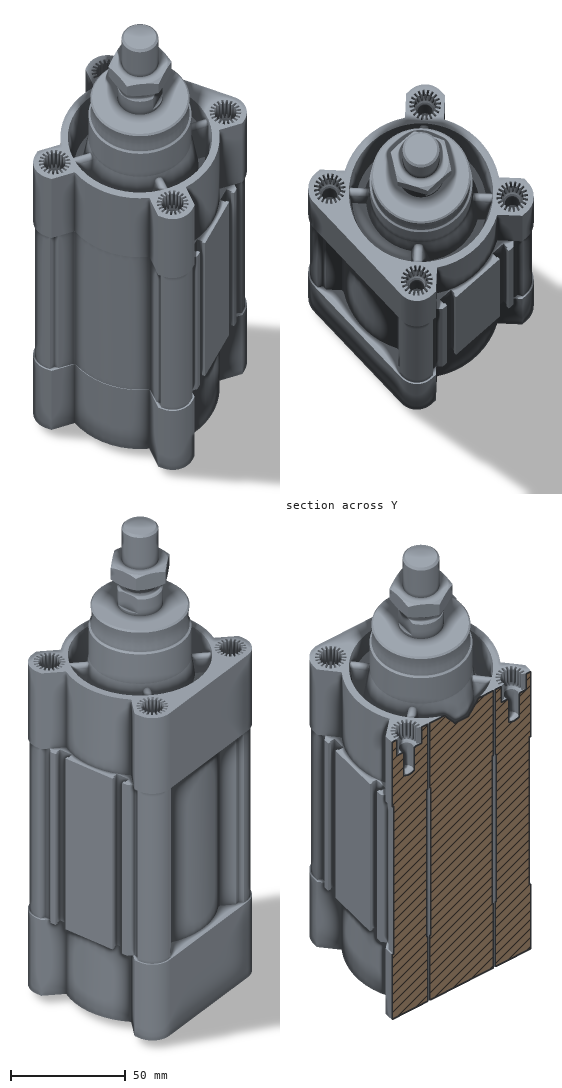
import cadquery as cq
import math

TOTAL_HEIGHT = 243.0
BOSS_HEIGHT = 4.1
COVER_HEIGHT = 40.0
TUBE_HEIGHT = 90.5
REAR_COVER_TOP = BOSS_HEIGHT + COVER_HEIGHT
FRONT_COVER_BOTTOM = REAR_COVER_TOP + TUBE_HEIGHT
FRONT_COVER_TOP = FRONT_COVER_BOTTOM + COVER_HEIGHT
COLLAR_TOP = 191.0
CAP_TOP = 202.0
ROD_SHOULDER = 211.5
NUT_BOTTOM = 217.3
NUT_HEIGHT = 8.0

COVER_SIDE = 75.0
TUBE_SIDE = 73.7
COVER_HALF = COVER_SIDE / 2
TUBE_HALF = TUBE_SIDE / 2
COVER_BARREL_RADIUS = 34.8
TUBE_BARREL_RADIUS = 34.5
SCREW_OFFSET = 28.2
LOBE_EDGE = 25.5
FLANK_REACH = 9.7

GROOVE_FLOOR = 34.8
GROOVE_INNER = 23.3
GROOVE_OUTER = 25.3
GROOVE_LIP = 26.5
FLANK_FOOT = 18.5
LEDGE_INNER = 16.0
FOOT_LEVEL = GROOVE_FLOOR - (GROOVE_INNER - FLANK_FOOT)
FIN_EDGE = 21.0
SLOT_CENTRE = 15.5
SLOT_MOUTH = 5.3
SLOT_WIDTH = 6.5
SLOT_FLOOR = 32.8
SLOT_LIP = 1.5

SOCKET_DIAMETER = 9.7
TOOTH_TIP_DIAMETER = 13.9
TOOTH_COUNT = 20
TOOTH_WIDTH = 1.0
SOCKET_DEPTH = 9.7
SCREW_BORE_DIAMETER = 6.5
BORE_MOUTH_DIAMETER = 8.0
SCREW_BORE_DEPTH = 14.5
BORE_TIP_HEIGHT = 2.0

POCKET_DEPTH = 19.5
SHALLOW_POCKET_DEPTH = 9.7
POCKET_TOP_RADIUS = 63.0 / 2
POCKET_FLOOR_RADIUS = 28.7
COLLAR_RADIUS = 45.0 / 2
COLLAR_FOOT_RADIUS = 25.5
RIB_RADIUS = 2.0
RIB_DROP = 2.0
RIB_BASE_HALF = 5.3

CAP_RADIUS = 21.6
CAP_WAIST_RADIUS = 21.1
CAP_CHAMFER = 0.7
COLLAR_CHAMFER = 0.7
BOSS_CHAMFER = 0.7

ROD_RADIUS = 20.0 / 2
ROD_CHAMFER = 0.7
ROD_FLATS = 17.0
FLATS_BOTTOM = 203.5
THREAD_RADIUS = 16.0 / 2
THREAD_CHAMFER = 1.0
NECK_RADIUS = 14.3 / 2
NECK_FOOT = 0.7
THREAD_BOTTOM = 215.1
NUT_FLATS = 24.0
NUT_CHAMFER = 1.0


def axis_prism(sketch, bottom, height):
    return sketch.extrude(height).translate((0, 0, bottom))


def block(x_range, y_range, bottom, height):
    (x0, x1), (y0, y1) = x_range, y_range
    plan = cq.Workplane("XY").center((x0 + x1) / 2, (y0 + y1) / 2).rect(x1 - x0, y1 - y0)
    return axis_prism(plan, bottom, height)


def disc(radius, bottom, height):
    return axis_prism(cq.Workplane("XY").circle(radius), bottom, height)


def turned(points):
    """Solid of revolution about Z from (radius, height) points."""
    return cq.Workplane("XZ").polyline(points).close().revolve(360, (0, 0, 0), (0, 1, 0))


def in_all_corners(corner):
    """Copies of a +X+Y corner solid, turned to the four corners."""
    return [corner.rotate((0, 0, 0), (0, 0, 1), 90 * turn) for turn in range(4)]


def rounded_tip(outline, half_side):
    """Line and arc around the outer end of a lobe, from the +X side to the +Y side."""
    radius = half_side - SCREW_OFFSET
    middle = SCREW_OFFSET + radius * math.sqrt(0.5)
    return outline.lineTo(half_side, SCREW_OFFSET).threePointArc(
        (middle, middle), (SCREW_OFFSET, half_side)
    )


def build_cover(bottom):
    """End cover: round barrel, four lobes and a flat +Y face."""
    foot = (COVER_HALF - FLANK_REACH, LOBE_EDGE - FLANK_REACH)
    outline = cq.Workplane("XY").polyline([(0, 0), foot, (COVER_HALF, LOBE_EDGE)])
    outline = rounded_tip(outline, COVER_HALF)
    outline = outline.lineTo(LOBE_EDGE, COVER_HALF).lineTo(foot[1], foot[0]).close()
    cover = disc(COVER_BARREL_RADIUS, bottom, COVER_HEIGHT)
    for lobe in in_all_corners(axis_prism(outline, bottom, COVER_HEIGHT)):
        cover = cover.union(lobe)
    flat_side = block(
        (-SCREW_OFFSET, SCREW_OFFSET), (SCREW_OFFSET, COVER_HALF), bottom, COVER_HEIGHT
    )
    return cover.union(flat_side)


def build_tube():
    """Profile tube: barrel, grooved lobes, and slotted flats on the +X and -X sides."""
    outline = cq.Workplane("XY").polyline([
        (0, 0),
        (FOOT_LEVEL, LEDGE_INNER),
        (FOOT_LEVEL, FLANK_FOOT),
        (GROOVE_FLOOR, GROOVE_INNER),
        (GROOVE_FLOOR, GROOVE_OUTER),
        (TUBE_HALF, GROOVE_LIP),
    ])
    outline = rounded_tip(outline, TUBE_HALF)
    outline = (
        outline.lineTo(GROOVE_LIP, TUBE_HALF)
        .lineTo(GROOVE_OUTER, GROOVE_FLOOR)
        .lineTo(GROOVE_INNER, GROOVE_FLOOR)
        .lineTo(FLANK_FOOT, FOOT_LEVEL)
        .lineTo(LEDGE_INNER, FOOT_LEVEL)
        .close()
    )
    tube = disc(TUBE_BARREL_RADIUS, REAR_COVER_TOP, TUBE_HEIGHT)
    for lobe in in_all_corners(axis_prism(outline, REAR_COVER_TOP, TUBE_HEIGHT)):
        tube = tube.union(lobe)

    fin_root = FIN_EDGE + TUBE_HALF - GROOVE_FLOOR
    flats = cq.Workplane("XY").polyline([
        (TUBE_HALF, -FIN_EDGE), (TUBE_HALF, FIN_EDGE), (GROOVE_FLOOR, fin_root),
        (-GROOVE_FLOOR, fin_root), (-TUBE_HALF, FIN_EDGE), (-TUBE_HALF, -FIN_EDGE),
        (-GROOVE_FLOOR, -fin_root), (GROOVE_FLOOR, -fin_root),
    ]).close()
    tube = tube.union(axis_prism(flats, REAR_COVER_TOP, TUBE_HEIGHT))
    for side in (-1, 1):
        for row in (-1, 1):
            tube = tube.cut(build_slot(side, row))
    return tube


def build_slot(side, row):
    """T-slot cutter running the whole tube height."""
    lip = TUBE_HALF - SLOT_LIP
    centre = cq.Workplane("XY").center(side * (SLOT_FLOOR + TUBE_HALF) / 2, row * SLOT_CENTRE)
    mouth = centre.rect(TUBE_HALF - SLOT_FLOOR, SLOT_MOUTH)
    inner = cq.Workplane("XY").center(side * (SLOT_FLOOR + lip) / 2, row * SLOT_CENTRE)
    inner = inner.rect(lip - SLOT_FLOOR, SLOT_WIDTH)
    return axis_prism(mouth, REAR_COVER_TOP, TUBE_HEIGHT).union(
        axis_prism(inner, REAR_COVER_TOP, TUBE_HEIGHT)
    )


def build_screw_socket():
    """Cutter for a splined socket with a threaded bore below it, on the Z axis."""
    floor = FRONT_COVER_TOP - SOCKET_DEPTH
    mouth_drop = (BORE_MOUTH_DIAMETER - SCREW_BORE_DIAMETER) / 2
    bore_radius = SCREW_BORE_DIAMETER / 2
    socket = turned([
        (0, FRONT_COVER_TOP),
        (SOCKET_DIAMETER / 2, FRONT_COVER_TOP),
        (SOCKET_DIAMETER / 2, floor),
        (BORE_MOUTH_DIAMETER / 2, floor),
        (bore_radius, floor - mouth_drop),
        (bore_radius, floor - SCREW_BORE_DEPTH),
        (0, floor - SCREW_BORE_DEPTH - BORE_TIP_HEIGHT),
    ])
    teeth = (
        cq.Workplane("XY")
        .polarArray(TOOTH_TIP_DIAMETER / 4, 0, 360, TOOTH_COUNT)
        .rect(TOOTH_TIP_DIAMETER / 2, TOOTH_WIDTH)
        .extrude(SOCKET_DEPTH)
    )
    return socket.union(teeth.translate((0, 0, floor)))


def build_ring_pocket():
    """Cutter for the tapered ring around the collar, interrupted by four diagonal ribs."""
    floor = FRONT_COVER_TOP - POCKET_DEPTH
    ring = turned([
        (COLLAR_RADIUS, FRONT_COVER_TOP),
        (POCKET_TOP_RADIUS, FRONT_COVER_TOP),
        (POCKET_FLOOR_RADIUS, floor),
        (COLLAR_FOOT_RADIUS, floor),
    ])
    crest = FRONT_COVER_TOP - RIB_DROP
    rib = (
        cq.Workplane("YZ")
        .moveTo(-RIB_BASE_HALF, floor)
        .lineTo(-RIB_RADIUS, crest - RIB_RADIUS)
        .threePointArc((0, crest), (RIB_RADIUS, crest - RIB_RADIUS))
        .lineTo(RIB_BASE_HALF, floor)
        .close()
        .extrude(COVER_HALF)
        .rotate((0, 0, 0), (0, 0, 1), 45)
    )
    for one_rib in in_all_corners(rib):
        ring = ring.cut(one_rib)
    shallow_sector = (
        cq.Workplane("XY")
        .polyline([(0, 0), (COVER_SIDE, COVER_SIDE), (-COVER_SIDE, COVER_SIDE)])
        .close()
        .extrude(POCKET_DEPTH - SHALLOW_POCKET_DEPTH)
    )
    ring = ring.cut(shallow_sector.translate((0, 0, floor)))
    return ring


def build_bearing_nose():
    """Collar and waisted cap around the rod, from the front cover upwards."""
    cap_middle = (COLLAR_TOP + CAP_TOP - CAP_CHAMFER) / 2
    return (
        cq.Workplane("XZ")
        .moveTo(0, FRONT_COVER_TOP - POCKET_DEPTH)
        .lineTo(COLLAR_RADIUS, FRONT_COVER_TOP - POCKET_DEPTH)
        .lineTo(COLLAR_RADIUS, COLLAR_TOP - COLLAR_CHAMFER)
        .lineTo(CAP_RADIUS, COLLAR_TOP)
        .threePointArc((CAP_WAIST_RADIUS, cap_middle), (CAP_RADIUS, CAP_TOP - CAP_CHAMFER))
        .lineTo(CAP_RADIUS - CAP_CHAMFER, CAP_TOP)
        .lineTo(0, CAP_TOP)
        .close()
        .revolve(360, (0, 0, 0), (0, 1, 0))
    )


def build_housing():
    boss = disc(COLLAR_RADIUS, 0, BOSS_HEIGHT).faces("<Z").chamfer(BOSS_CHAMFER)
    housing = boss.union(build_cover(BOSS_HEIGHT)).union(build_tube())
    housing = housing.union(build_cover(FRONT_COVER_BOTTOM)).cut(build_ring_pocket())
    housing = housing.union(build_bearing_nose())
    socket = build_screw_socket().translate((SCREW_OFFSET, SCREW_OFFSET, 0))
    for one_socket in in_all_corners(socket):
        housing = housing.cut(one_socket)
    rod_bore = disc(ROD_RADIUS, FRONT_COVER_BOTTOM, CAP_TOP - FRONT_COVER_BOTTOM)
    return housing.cut(rod_bore)


def build_piston_rod():
    """Rod with two wrench flats, a narrow neck and a threaded end."""
    rod = turned([
        (0, FRONT_COVER_BOTTOM),
        (ROD_RADIUS, FRONT_COVER_BOTTOM),
        (ROD_RADIUS, ROD_SHOULDER - ROD_CHAMFER),
        (ROD_RADIUS - ROD_CHAMFER, ROD_SHOULDER),
        (NECK_RADIUS + NECK_FOOT, ROD_SHOULDER),
        (NECK_RADIUS, ROD_SHOULDER + NECK_FOOT),
        (NECK_RADIUS, THREAD_BOTTOM - THREAD_CHAMFER),
        (THREAD_RADIUS, THREAD_BOTTOM),
        (THREAD_RADIUS, TOTAL_HEIGHT - THREAD_CHAMFER),
        (THREAD_RADIUS - THREAD_CHAMFER, TOTAL_HEIGHT),
        (0, TOTAL_HEIGHT),
    ])
    flat_height = ROD_SHOULDER - FLATS_BOTTOM
    for inner, outer in ((ROD_FLATS / 2, ROD_RADIUS), (-ROD_RADIUS, -ROD_FLATS / 2)):
        flat = block((inner, outer), (-ROD_RADIUS, ROD_RADIUS), FLATS_BOTTOM, flat_height)
        rod = rod.cut(flat)
    return rod


def build_nut():
    """Hexagon nut with its corners along Y, chamfered on both faces."""
    corner_radius = NUT_FLATS / math.sqrt(3)
    hexagon = cq.Workplane("XY").polygon(6, 2 * corner_radius).extrude(NUT_HEIGHT)
    hexagon = hexagon.rotate((0, 0, 0), (0, 0, 1), 90)
    face_radius = NUT_FLATS / 2
    envelope = turned([
        (0, 0),
        (face_radius, 0),
        (corner_radius, NUT_CHAMFER),
        (corner_radius, NUT_HEIGHT - NUT_CHAMFER),
        (face_radius, NUT_HEIGHT),
        (0, NUT_HEIGHT),
    ])
    nut = hexagon.intersect(envelope).translate((0, 0, NUT_BOTTOM))
    return nut.cut(disc(THREAD_RADIUS, NUT_BOTTOM, NUT_HEIGHT))


housing = build_housing()
piston_rod = build_piston_rod()
nut = build_nut()
result = cq.Compound.makeCompound([housing.val(), piston_rod.val(), nut.val()])